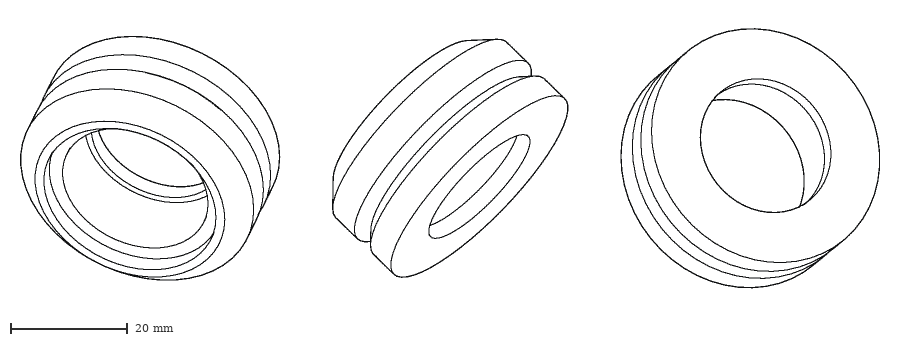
import cadquery as cq

outer_diameter = 42.0
length = 18.4

front_chamfer_length = 4.0
front_face_diameter = 34.2
front_chamfer_width = (outer_diameter - front_face_diameter) / 2

groove_floor_diameter = 38.0
groove_depth = (outer_diameter - groove_floor_diameter) / 2
groove_half_width = groove_depth
back_band_length = 5.05

recess_diameter = 31.0
recess_depth = 3.0
bore_diameter = 26.2
lip_diameter = 24.0
lip_length = 3.0

front_y = -length / 2
back_y = length / 2


def axial_cylinder(diameter, start_y, depth):
    """Cylinder on the ring axis, running from start_y towards +Y."""
    plane = cq.Workplane("XZ", origin=(0, start_y, 0))
    return plane.circle(diameter / 2).extrude(-depth)


def v_groove_cutter():
    """Triangular section revolved about the ring axis."""
    outer_radius = outer_diameter / 2
    groove_y = back_y - back_band_length - groove_half_width
    return (
        cq.Workplane("XY")
        .moveTo(outer_radius, groove_y - groove_half_width)
        .lineTo(groove_floor_diameter / 2, groove_y)
        .lineTo(outer_radius, groove_y + groove_half_width)
        .close()
        .revolve(360, (0, 0, 0), (0, 1, 0))
    )


ring = axial_cylinder(outer_diameter, front_y, length)
ring = ring.faces("<Y").chamfer(front_chamfer_length, front_chamfer_width)
ring = ring.cut(v_groove_cutter())

ring = ring.cut(axial_cylinder(lip_diameter, front_y, length))
ring = ring.cut(axial_cylinder(bore_diameter, front_y, length - lip_length))
ring = ring.cut(axial_cylinder(recess_diameter, front_y, recess_depth))

result = ring